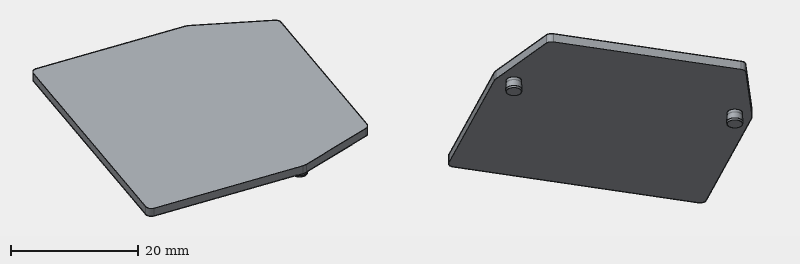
import cadquery as cq
import math

width = 42.0
depth = 41.0
total_height = 3.5
plate_thickness = 1.5
shoulder_drop = 13.65
side_slope_angle = 20.0
corner_radius = 1.0
shoulder_radius = 2.0

peg_length = total_height - plate_thickness
peg_edge_distance = 3.0
peg_back_distance = 13.1
neck_radius = 1.2
neck_length = 0.5
head_radius = 1.3
tip_radius = 1.2
tip_length = 0.35

half_width = width / 2
shoulder_y = depth - shoulder_drop
back_half_width = half_width - shoulder_drop * math.tan(math.radians(side_slope_angle))


def make_plate():
    """Plate with a straight front and sides that taper in toward the back."""
    outline = [
        (-half_width, 0),
        (half_width, 0),
        (half_width, shoulder_y),
        (back_half_width, depth),
        (-back_half_width, depth),
        (-half_width, shoulder_y),
    ]
    plate = cq.Workplane("XY").polyline(outline).close().extrude(plate_thickness)
    plate = plate.edges("|Z").edges("<Y or >Y").fillet(corner_radius)
    shoulder_zone = cq.selectors.BoxSelector(
        (-width, shoulder_y - corner_radius, -plate_thickness),
        (width, shoulder_y + corner_radius, 2 * plate_thickness),
    )
    return plate.edges("|Z").edges(shoulder_zone).fillet(shoulder_radius)


def make_peg(x):
    """Round snap peg: straight neck, flared head and tapered tip."""
    profile = [
        (0, 0),
        (neck_radius, 0),
        (neck_radius, -neck_length),
        (head_radius, tip_length - peg_length),
        (tip_radius, -peg_length),
        (0, -peg_length),
    ]
    peg = cq.Workplane("XZ").polyline(profile).close().revolve(360, (0, 0), (0, 1))
    return peg.translate((x, depth - peg_back_distance, 0))


result = make_plate()
for side in (-1, 1):
    result = result.union(make_peg(side * (half_width - peg_edge_distance)))